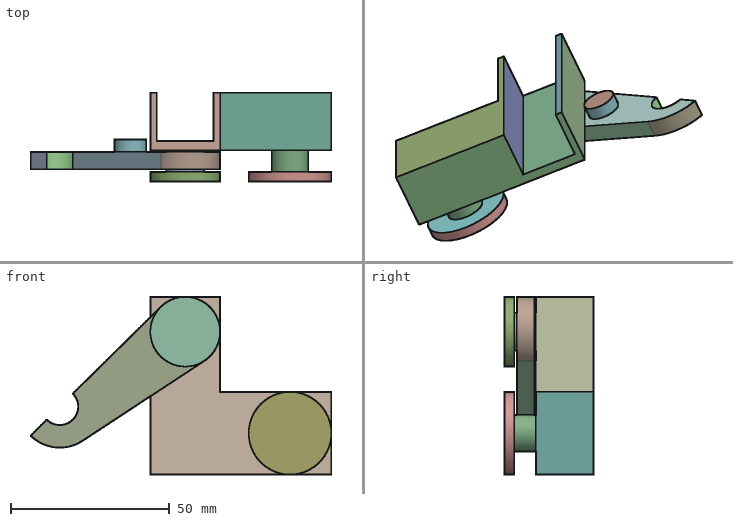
import cadquery as cq
import math

housing_width = 57.0
housing_height = 56.0
housing_depth = 18.2
post_width = 22.0
arm_height = 26.0
side_wall = 2.1
front_wall = 3.0

pivot_pin_diameter = 12.0
knob_pin_diameter = 11.55
head_thickness = 3.1
pivot_x = post_width / 2
pivot_z = housing_height - post_width / 2
knob_x = housing_width - arm_height / 2
knob_z = arm_height / 2

back_gap = 0.5
lever_thickness = 5.5
head_gap = 0.8
pin_length = back_gap + lever_thickness + head_gap
lever_tilt = 45
hub_radius = post_width / 2
hook_reach = 44.6
hook_offset = 11.3
hook_radius = 13.0
notch_radius = 5.8
peg_diameter = 10.0
peg_length = 4.0
peg_u = -22.1
peg_v = 2.4


def cylinder_to_front(x, z, diameter, back_y, length):
    """Cylinder running from back_y toward the front (-Y)."""
    centre = cq.Vector(x, back_y, z)
    return cq.Workplane(cq.Solid.makeCylinder(diameter / 2, length, centre, cq.Vector(0, -1, 0)))


def headed_pin(x, z, pin_diameter, head_diameter):
    pin = cylinder_to_front(x, z, pin_diameter, 0, pin_length)
    head = cylinder_to_front(x, z, head_diameter, -pin_length, head_thickness)
    return pin.union(head)


def make_housing():
    body = (
        cq.Workplane("XZ")
        .polyline([
            (0, 0),
            (housing_width, 0),
            (housing_width, arm_height),
            (post_width, arm_height),
            (post_width, housing_height),
            (0, housing_height),
        ])
        .close()
        .extrude(-housing_depth)
    )
    channel = cq.Workplane("XY").box(
        post_width - 2 * side_wall, housing_depth - front_wall, housing_height, centered=False
    ).translate((side_wall, front_wall, 0))
    return (
        body.cut(channel)
        .union(headed_pin(pivot_x, pivot_z, pivot_pin_diameter, post_width))
        .union(headed_pin(knob_x, knob_z, knob_pin_diameter, arm_height))
    )


def lever_outline():
    """Lever at zero tilt: hub at the origin, hook to the left, upper edge nearly along u."""
    hook_u = -hook_reach
    hook_v = hook_offset

    def on_circle(centre_u, centre_v, radius, angle):
        return (centre_u + radius * math.cos(angle), centre_v + radius * math.sin(angle))

    centre_distance = math.hypot(hook_u, hook_v)
    axis_angle = math.atan2(-hook_v, -hook_u)
    edge_tilt = math.asin((hook_radius - hub_radius) / centre_distance)
    normal = axis_angle + edge_tilt - math.pi / 2
    hook_middle = (normal - math.pi) / 2

    return (
        cq.Workplane("XZ", origin=(0, -back_gap, 0))
        .moveTo(hook_u + notch_radius, hook_v)
        .lineTo(0, hub_radius)
        .threePointArc((hub_radius, 0), on_circle(0, 0, hub_radius, normal))
        .lineTo(*on_circle(hook_u, hook_v, hook_radius, normal))
        .threePointArc(
            on_circle(hook_u, hook_v, hook_radius, hook_middle), (hook_u - hook_radius, hook_v)
        )
        .lineTo(hook_u - notch_radius, hook_v)
        .threePointArc((hook_u, hook_v - notch_radius), (hook_u + notch_radius, hook_v))
        .close()
    )


def make_lever():
    plate = lever_outline().extrude(lever_thickness)
    bore = cylinder_to_front(0, 0, pivot_pin_diameter, -back_gap, lever_thickness)
    peg = cylinder_to_front(peg_u, peg_v, peg_diameter, peg_length - back_gap, peg_length)
    lever = plate.cut(bore).union(peg)
    return lever.rotate((0, 0, 0), (0, 1, 0), -lever_tilt).translate((pivot_x, 0, pivot_z))


housing = make_housing()
lever = make_lever()
result = cq.Compound.makeCompound([housing.solids().val(), lever.solids().val()])